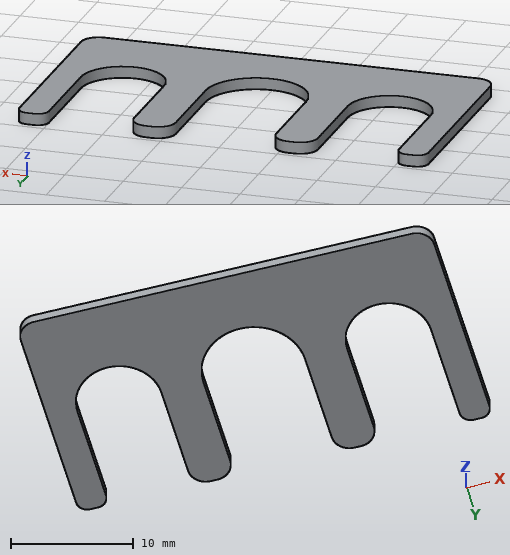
import cadquery as cq

plate_length = 35.05
plate_width = 19.05
plate_thickness = 1.0

slot_pitch = 11.43
center_slot_width = 8.6
side_slot_width = 7.1

base_corner_radius = 1.5
inner_prong_radius = 1.5
outer_prong_radius = 0.95

half_length = plate_length / 2
half_width = plate_width / 2


def open_slot(center_x, width):
    """Cutter with a round bottom at mid-width, running out through the +Y edge."""
    round_bottom = cq.Workplane("XY").center(center_x, 0).circle(width / 2).extrude(plate_thickness)
    channel = (
        cq.Workplane("XY")
        .center(center_x, half_width / 2)
        .rect(width, half_width)
        .extrude(plate_thickness)
    )
    return round_bottom.union(channel)


def round_corners(body, x_positions, y, radius):
    """Fillet the vertical edges at the given X positions, mirrored about X = 0."""
    for x in x_positions:
        for side in (-1, 1):
            corner = cq.selectors.NearestToPointSelector((side * x, y, plate_thickness / 2))
            body = body.edges("|Z").edges(corner).fillet(radius)
    return body


plate = cq.Workplane("XY").box(plate_length, plate_width, plate_thickness, centered=(True, True, False))

plate = plate.cut(open_slot(0, center_slot_width))
for slot_x in (-slot_pitch, slot_pitch):
    plate = plate.cut(open_slot(slot_x, side_slot_width))

inner_prong_sides = (center_slot_width / 2, slot_pitch - side_slot_width / 2)
outer_prong_sides = (slot_pitch + side_slot_width / 2, half_length)

plate = round_corners(plate, (half_length,), -half_width, base_corner_radius)
plate = round_corners(plate, inner_prong_sides, half_width, inner_prong_radius)
plate = round_corners(plate, outer_prong_sides, half_width, outer_prong_radius)

result = plate